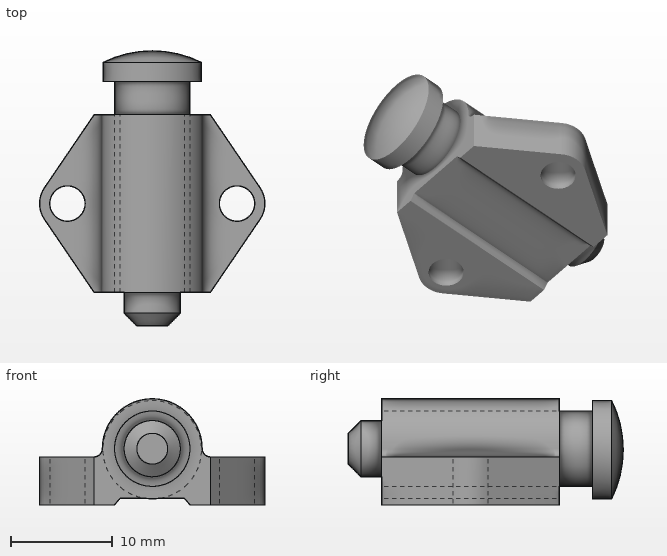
import cadquery as cq
import math

housing_length = 17.5
overall_width = 22.21
overall_height = 10.48
barrel_radius = 4.93
flange_thickness = 4.75
axis_height = overall_height - barrel_radius
fillet_radius = axis_height - flange_thickness
block_half_width = barrel_radius + fillet_radius
half_length = housing_length / 2

screw_hole_spacing = 16.7
screw_hole_diameter = 3.46
ear_center_x = screw_hole_spacing / 2
ear_radius = overall_width / 2 - ear_center_x

channel_bottom_width = 7.44
channel_top_width = 6.34
channel_depth = 0.65

shank_diameter = 7.43
tip_diameter = 5.54
tip_length = 3.3
tip_chamfer = 1.25
neck_length = 3.25
head_diameter = 9.7
head_drop = 0.1
head_rim_length = 1.9
dome_height = 1.15
head_y = half_length + neck_length


def along_y(outline):
    """Extrude an XZ outline over the full housing length, centred on Y = 0."""
    return outline.extrude(half_length, both=True)


def flange():
    """Flat lozenge with straight sides tangent to the rounded ear tips."""
    corner_dx = block_half_width - ear_center_x
    corner_distance = math.hypot(corner_dx, half_length)
    corner_angle = math.atan2(half_length, corner_dx)
    tangent_angle = corner_angle - math.acos(ear_radius / corner_distance)
    tangent_x = ear_center_x + ear_radius * math.cos(tangent_angle)
    tangent_y = ear_radius * math.sin(tangent_angle)
    ear_tip_x = overall_width / 2
    plate = (
        cq.Workplane("XY")
        .moveTo(-block_half_width, -half_length)
        .lineTo(block_half_width, -half_length)
        .lineTo(tangent_x, -tangent_y)
        .threePointArc((ear_tip_x, 0), (tangent_x, tangent_y))
        .lineTo(block_half_width, half_length)
        .lineTo(-block_half_width, half_length)
        .lineTo(-tangent_x, tangent_y)
        .threePointArc((-ear_tip_x, 0), (-tangent_x, -tangent_y))
        .close()
        .extrude(flange_thickness)
    )
    screw_holes = (
        cq.Workplane("XY")
        .pushPoints([(-ear_center_x, 0), (ear_center_x, 0)])
        .circle(screw_hole_diameter / 2)
        .extrude(flange_thickness)
    )
    return plate.cut(screw_holes)


def barrel_block():
    """Half-round barrel on a block, with concave fillets down to the flange top."""
    fillet_mid = fillet_radius * math.sqrt(0.5)
    fillet_mid_x = block_half_width - fillet_mid
    fillet_mid_z = axis_height - fillet_mid
    return along_y(
        cq.Workplane("XZ")
        .moveTo(-block_half_width, 0)
        .lineTo(block_half_width, 0)
        .lineTo(block_half_width, flange_thickness)
        .threePointArc((fillet_mid_x, fillet_mid_z), (barrel_radius, axis_height))
        .threePointArc((0, overall_height), (-barrel_radius, axis_height))
        .threePointArc((-fillet_mid_x, fillet_mid_z), (-block_half_width, flange_thickness))
        .close()
    )


def underside_channel():
    """Trapezoidal channel, widest at the mounting face."""
    return along_y(
        cq.Workplane("XZ").polyline([
            (-channel_bottom_width / 2, 0),
            (channel_bottom_width / 2, 0),
            (channel_top_width / 2, channel_depth),
            (-channel_top_width / 2, channel_depth),
        ]).close()
    )


def make_housing():
    bore = along_y(cq.Workplane("XZ").center(0, axis_height).circle(shank_diameter / 2))
    return flange().union(barrel_block()).cut(underside_channel()).cut(bore)


def revolve_about_y(profile, height):
    """Revolve a half profile, with X as radius, about a line parallel to Y at the given height."""
    return profile.close().revolve(360, (0, 0, 0), (0, 1, 0)).translate((0, 0, height))


def plunger_shank():
    """Chamfered tip and the shank that fills the bore, flush with the housing's front face."""
    tip_radius = tip_diameter / 2
    shank_radius = shank_diameter / 2
    front_y = -half_length
    tip_y = front_y - tip_length
    profile = (
        cq.Workplane("XY")
        .moveTo(0, tip_y)
        .lineTo(tip_radius - tip_chamfer, tip_y)
        .lineTo(tip_radius, tip_y + tip_chamfer)
        .lineTo(tip_radius, front_y)
        .lineTo(shank_radius, front_y)
        .lineTo(shank_radius, head_y)
        .lineTo(0, head_y)
    )
    return revolve_about_y(profile, axis_height)


def plunger_head():
    """Domed push button, set slightly below the shank axis."""
    head_radius = head_diameter / 2
    rim_y = head_y + head_rim_length
    crown_y = rim_y + dome_height

    dome_radius = (head_radius**2 + dome_height**2) / (2 * dome_height)
    half_dome_angle = math.asin(head_radius / dome_radius) / 2
    dome_mid_r = dome_radius * math.sin(half_dome_angle)
    dome_mid_y = crown_y - dome_radius * (1 - math.cos(half_dome_angle))

    profile = (
        cq.Workplane("XY")
        .moveTo(0, head_y)
        .lineTo(head_radius, head_y)
        .lineTo(head_radius, rim_y)
        .threePointArc((dome_mid_r, dome_mid_y), (0, crown_y))
    )
    return revolve_about_y(profile, axis_height - head_drop)


def make_plunger():
    return plunger_shank().union(plunger_head())


housing = make_housing().solids()
plunger = make_plunger().solids()

result = cq.Compound.makeCompound([housing.val(), plunger.val()])